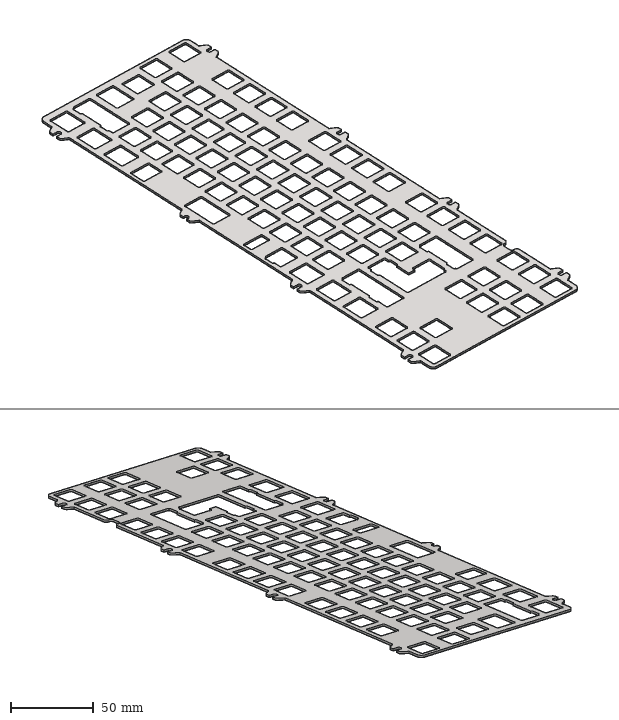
import cadquery as cq


plate_width = 348.2
plate_depth = 121.2
total_depth = 130.5
thickness = 1.5
first_to_last_key = 328.7
columns_spanned = 17.25
rows_spanned = 5.25
navigation_cluster_width = 52.2
cutout_corner_radius = 0.7
plate_corner_radius = 3.5

stabilizer_width = 7.3
stabilizer_overhang = 1.0
tall_enter_top_setback = 1.0

space_bar_tab = -40.5
tab_positions = (-155.5, space_bar_tab, 57.5, 155.5)
tab_base_width = 15.3
tab_tip_width = 9.7
tab_tip_radius = 2.0
tab_slot_width = 3.0
slot_floor_radius = 1.0
short_slot_setback = 2.0
tab_root_overlap = 1.7

notch_column = 14.625
notch_width = 8.5
notch_depth = 4.5
notch_bottom_radius = 1.7
notch_mouth_radius = 2.0

pitch = first_to_last_key / columns_spanned
switch_size = navigation_cluster_width - 2 * pitch
half_switch = switch_size / 2
half_stabilizer = stabilizer_width / 2

function_row = 0
number_row = 1.25
upper_row = number_row + 1
home_row = upper_row + 1
lower_row = home_row + 1
bottom_row = rows_spanned


def column_x(column):
    return column * pitch - first_to_last_key / 2


def row_y(row):
    return (rows_spanned / 2 - row) * pitch


def block(left, right, bottom, top):
    """Cutting block between the given sides, through the plate."""
    return (
        cq.Workplane("XY")
        .center((left + right) / 2, (bottom + top) / 2)
        .rect(right - left, top - bottom)
        .extrude(thickness)
    )


def rounded_block(left, right, bottom, top):
    """Cutting block with rounded upright edges."""
    return block(left, right, bottom, top).edges("|Z").fillet(cutout_corner_radius)


def switch_cutout(row, first_column, last_column):
    """Cutout that takes a switch at either column, or anywhere between them."""
    return rounded_block(
        column_x(first_column) - half_switch,
        column_x(last_column) + half_switch,
        row_y(row) - half_switch,
        row_y(row) + half_switch,
    )


def stabilizer_cutout(row, first_column, last_column):
    """Cutout that takes a stabilizer at either column."""
    return rounded_block(
        column_x(first_column) - half_stabilizer,
        column_x(last_column) + half_stabilizer,
        row_y(row) - half_switch - stabilizer_overhang,
        row_y(row) + half_switch,
    )


def wide_key_cutout(row, first_column, last_column, stabilizer_columns):
    """Switch cutout joined with the stabilizer cutouts at the given columns."""
    cutout = switch_cutout(row, first_column, last_column)
    for column in stabilizer_columns:
        cutout = cutout.union(stabilizer_cutout(row, column, column))
    return cutout


def enter_cutout():
    """L-shaped cutout for a wide or a tall enter key."""
    tall_key_column = 13.875
    upper_key_column = 13.75
    lower_key_column = 12.75
    stabilizer_reach = half_switch + stabilizer_overhang
    upper_part = switch_cutout(upper_row, upper_key_column, upper_key_column)
    lower_part = switch_cutout(home_row, lower_key_column, tall_key_column)
    joining_part = rounded_block(
        column_x(tall_key_column) - half_switch,
        column_x(tall_key_column) + half_switch,
        row_y(home_row),
        row_y(upper_row) + half_switch - tall_enter_top_setback,
    )
    stabilizer = rounded_block(
        column_x(lower_key_column) - half_stabilizer,
        column_x(lower_key_column) + half_stabilizer,
        row_y(home_row) - stabilizer_reach,
        row_y(home_row) + stabilizer_reach,
    )
    return upper_part.union(lower_part).union(joining_part).union(stabilizer)


def run(first_column, count):
    """Columns of adjacent single keys."""
    return [first_column + step for step in range(count)]


def tab(x, slot_setback=0):
    """Split mounting tab on the back edge, its slot stopping short of the plate edge by the setback."""
    root_y = plate_depth / 2
    tip_y = total_depth / 2
    body = (
        cq.Workplane("XY")
        .moveTo(x - tab_base_width / 2, root_y - tab_root_overlap)
        .lineTo(x - tab_base_width / 2, root_y)
        .lineTo(x - tab_tip_width / 2, tip_y)
        .lineTo(x + tab_tip_width / 2, tip_y)
        .lineTo(x + tab_base_width / 2, root_y)
        .lineTo(x + tab_base_width / 2, root_y - tab_root_overlap)
        .close()
        .extrude(thickness)
        .edges("|Z and >Y")
        .fillet(tab_tip_radius)
    )
    slot = block(x - tab_slot_width / 2, x + tab_slot_width / 2, root_y + slot_setback, tip_y)
    slot = slot.edges("|Z and <Y").fillet(slot_floor_radius)
    return body.cut(slot)


def connector_notch():
    """Notch with a flared mouth and a rounded floor."""
    x = column_x(notch_column)
    back = plate_depth / 2
    half_mouth = notch_width / 2 + notch_mouth_radius
    wall_x = notch_width / 2
    floor_y = back - notch_depth
    return (
        cq.Workplane("XY")
        .moveTo(x - half_mouth, back)
        .radiusArc((x - wall_x, back - notch_mouth_radius), notch_mouth_radius)
        .lineTo(x - wall_x, floor_y + notch_bottom_radius)
        .radiusArc((x - wall_x + notch_bottom_radius, floor_y), -notch_bottom_radius)
        .lineTo(x + wall_x - notch_bottom_radius, floor_y)
        .radiusArc((x + wall_x, floor_y + notch_bottom_radius), -notch_bottom_radius)
        .lineTo(x + wall_x, back - notch_mouth_radius)
        .radiusArc((x + half_mouth, back), notch_mouth_radius)
        .close()
        .extrude(thickness)
    )


navigation_columns = run(15.25, 3)
single_keys = {
    function_row: [0] + run(2, 4) + run(6.5, 4) + run(11, 4) + navigation_columns,
    number_row: run(0, 13) + navigation_columns,
    upper_row: [0.25] + run(1.5, 12) + navigation_columns,
    home_row: run(1.75, 11),
    lower_row: run(2.25, 10) + [16.25],
    bottom_row: navigation_columns,
}

dual_position_keys = [
    (home_row, 0.125, 0.375),
    (bottom_row, 0.125, 0.25),
    (bottom_row, 1.375, 1.5),
    (bottom_row, 2.625, 2.75),
    (bottom_row, 6.375, 7),
    (bottom_row, 11.25, 11.375),
    (bottom_row, 12.5, 12.625),
    (bottom_row, 13.75, 13.875),
]

cutouts = [switch_cutout(row, column, column) for row in single_keys for column in single_keys[row]]
cutouts += [switch_cutout(*key) for key in dual_position_keys]
cutouts += [
    wide_key_cutout(number_row, 13, 14, [12.875, 14.125]),
    enter_cutout(),
    wide_key_cutout(lower_row, 0.125, 1.25, [0, 1.25]),
    wide_key_cutout(lower_row, 12.625, 14, [12.5, 13.75]),
    stabilizer_cutout(bottom_row, 3.75, 4),
    stabilizer_cutout(bottom_row, 9, 9),
    wide_key_cutout(bottom_row, 10.125, 10.125, [10]),
]

plate = cq.Workplane("XY").rect(plate_width, plate_depth).extrude(thickness)
plate = plate.edges("|Z").fillet(plate_corner_radius)
for x in tab_positions:
    front_setback = short_slot_setback if x == space_bar_tab else 0
    plate = plate.union(tab(x)).union(tab(x, front_setback).mirror("XZ"))
plate = plate.cut(connector_notch())
all_cutouts = cq.Compound.makeCompound([cutout.val() for cutout in cutouts])
result = plate.cut(cq.Workplane(all_cutouts))